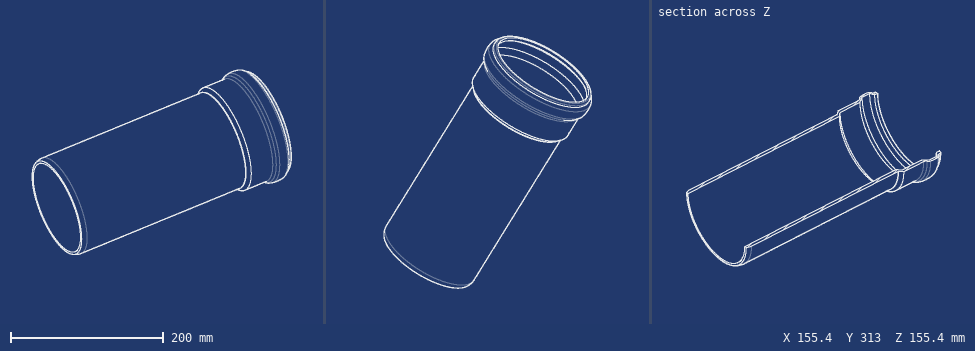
import cadquery as cq
import math

length = 313.0

pipe_outer_dia = 135.3
pipe_bore_dia = 124.7
socket_outer_dia = 145.1
socket_bore_dia = 135.5
collar_dia = 135.5
groove_dia = 147.5
bead_crown_dia = 155.4
bead_edge_dia = 154.0

spigot_round_length = 7.0
spigot_round_drop = 2.0

lip_radius = 2.2
bead_start = 5.0
bead_crown_start = 8.8
bead_crown_end = 21.0
bead_end = 29.0
shoulder_start = 61.4
shoulder_end = 66.5
collar_end = 67.2

half_quarter_turn = math.pi / 4
pipe_r = pipe_outer_dia / 2
bore_r = pipe_bore_dia / 2
socket_r = socket_outer_dia / 2
collar_r = collar_dia / 2
socket_bore_r = socket_bore_dia / 2
groove_r = groove_dia / 2
crown_r = bead_crown_dia / 2
bead_edge_r = bead_edge_dia / 2


def from_mouth(radius, distance):
    """Profile point at a radius and a distance back from the socket mouth."""
    return (radius, length - distance)


def outer_profile():
    """Outside of the pipe, from the spigot end face to the mouth, closed along the axis."""
    flank_mid_r = (socket_r + bead_edge_r) / 2
    flank_mid = (bead_crown_end + bead_end) / 2
    crown_mid = (bead_crown_start + bead_crown_end) / 2
    bead_rise_mid_r = socket_r + (bead_edge_r - socket_r) * math.sin(half_quarter_turn)
    bead_rise_mid = bead_crown_start - (bead_crown_start - bead_start) * math.cos(half_quarter_turn)
    lip_mid = lip_radius * (1 - math.cos(half_quarter_turn))
    spigot_mid_r = pipe_r - spigot_round_drop / 4
    return (
        cq.Workplane("XY")
        .moveTo(0, 0)
        .lineTo(pipe_r - spigot_round_drop, 0)
        .threePointArc((spigot_mid_r, spigot_round_length / 2), (pipe_r, spigot_round_length))
        .lineTo(*from_mouth(pipe_r, collar_end))
        .lineTo(*from_mouth(collar_r, collar_end))
        .lineTo(*from_mouth(collar_r, shoulder_end))
        .lineTo(*from_mouth(socket_r, shoulder_start))
        .lineTo(*from_mouth(socket_r, bead_end))
        .tangentArcPoint(from_mouth(flank_mid_r, flank_mid), relative=False)
        .tangentArcPoint(from_mouth(bead_edge_r, bead_crown_end), relative=False)
        .threePointArc(from_mouth(crown_r, crown_mid), from_mouth(bead_edge_r, bead_crown_start))
        .threePointArc(from_mouth(bead_rise_mid_r, bead_rise_mid), from_mouth(socket_r, bead_start))
        .lineTo(*from_mouth(socket_r, lip_radius))
        .threePointArc(from_mouth(socket_r - lip_mid, lip_mid), from_mouth(socket_r - lip_radius, 0))
        .lineTo(*from_mouth(0, 0))
        .close()
    )


def inner_profile():
    """Pipe bore, socket bore and seal groove, closed along the axis."""
    return (
        cq.Workplane("XY")
        .moveTo(0, 0)
        .lineTo(bore_r, 0)
        .lineTo(*from_mouth(bore_r, shoulder_end))
        .lineTo(*from_mouth(socket_bore_r, shoulder_start))
        .lineTo(*from_mouth(socket_bore_r, bead_end))
        .lineTo(*from_mouth(groove_r, bead_crown_end))
        .lineTo(*from_mouth(groove_r, bead_crown_start))
        .lineTo(*from_mouth(socket_bore_r, bead_start))
        .lineTo(*from_mouth(socket_bore_r, 0))
        .lineTo(*from_mouth(0, 0))
        .close()
    )


def revolve_about_pipe_axis(profile):
    return profile.revolve(360, (0, 0, 0), (0, 1, 0))


result = revolve_about_pipe_axis(outer_profile()).cut(revolve_about_pipe_axis(inner_profile()))